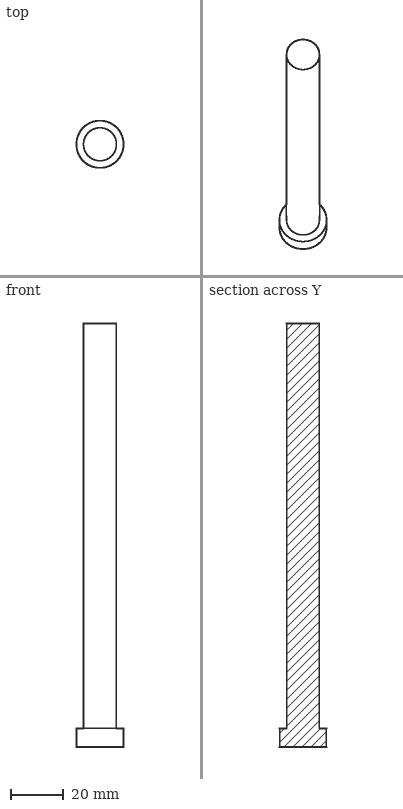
import cadquery as cq

total_length = 160.0
head_diameter = 18.0
head_height = 7.0
shank_diameter = 12.5

head = cq.Workplane("XY").circle(head_diameter / 2).extrude(head_height)
shank = cq.Workplane("XY").circle(shank_diameter / 2).extrude(total_length)

result = head.union(shank)